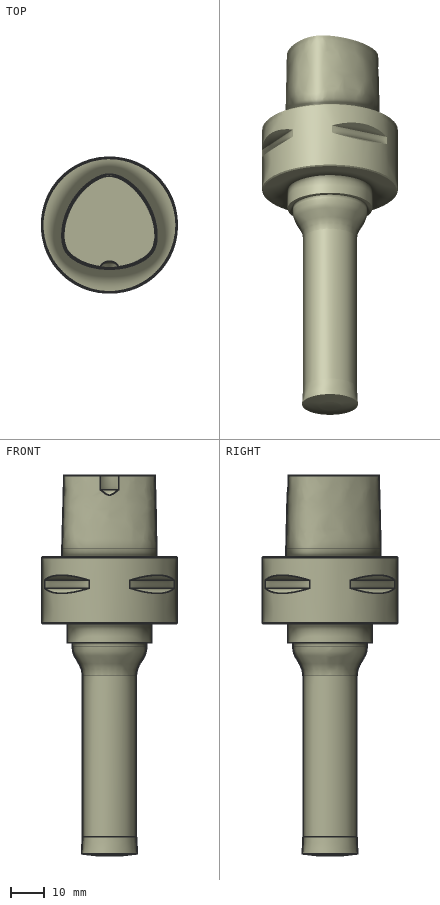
import cadquery as cq
import math

TOTAL_LENGTH = 112.0

SHANK_LENGTH = 24.0
SHANK_WIDTH = 28.0
LOBE = 1.0
STRAIGHT_BAND = 2.5
WIDTH_PER_LENGTH = 1 / 20
OUTLINE_POINTS = 36

NOTCH_DIAMETER = 6.0
NOTCH_DEPTH = 4.1
NOTCH_OFFSET = 13.7
NOTCH_TIP_ANGLE = 100.0

FLANGE_DIAMETER = 40.0
FLANGE_HEIGHT = 19.7
FLANGE_CHAMFER = 0.3
SLOT_COUNT = 4
SLOT_FIRST_ANGLE = 45.0
SLOT_DROP = 8.1
SLOT_LENGTH = 18.6
SLOT_FLOOR_HEIGHT = 2.2
SLOT_MOUTH_HEIGHT = 5.4

COLLAR_DIAMETER = 25.0
COLLAR_HEIGHT = 5.6
NECK_DIAMETER = 22.0
NECK_BAND = 1.0
STEM_DIAMETER = 15.9
FLARE_HEIGHT = 8.6

TIP_LENGTH = 5.6
TIP_DIAMETER = 16.5
TIP_CROWN_HEIGHT = 0.6
TIP_FLAT_DIAMETER = 6.7

FLANGE_TOP = TOTAL_LENGTH - SHANK_LENGTH
FLANGE_BOTTOM = FLANGE_TOP - FLANGE_HEIGHT


def lobed_outline(width, z):
    """Closed constant-width curve with three lobes, one pointing to +Y."""
    points = []
    for i in range(OUTLINE_POINTS):
        t = 2 * math.pi * i / OUTLINE_POINTS
        reach = width / 2 + LOBE * math.cos(3 * t)
        slide = -3 * LOBE * math.sin(3 * t)
        x = reach * math.sin(t) + slide * math.cos(t)
        y = reach * math.cos(t) - slide * math.sin(t)
        points.append(cq.Vector(x, y, z))
    return cq.Wire.assembleEdges([cq.Edge.makeSpline(points, periodic=True)])


def make_shank():
    band_top = FLANGE_TOP + STRAIGHT_BAND
    top_width = SHANK_WIDTH - (TOTAL_LENGTH - band_top) * WIDTH_PER_LENGTH
    base = lobed_outline(SHANK_WIDTH, FLANGE_TOP)
    middle = lobed_outline(SHANK_WIDTH, band_top)
    top = lobed_outline(top_width, TOTAL_LENGTH)
    band = cq.Solid.makeLoft([base, middle], True)
    taper = cq.Solid.makeLoft([middle, top], True)
    return cq.Workplane(band).union(cq.Workplane(taper), clean=False)


def make_notch():
    """Drill shape: a vertical cylinder with a conical point."""
    radius = NOTCH_DIAMETER / 2
    shoulder = TOTAL_LENGTH - NOTCH_DEPTH
    point = shoulder - radius / math.tan(math.radians(NOTCH_TIP_ANGLE / 2))
    return (
        cq.Workplane("XZ")
        .polyline([(0, TOTAL_LENGTH), (radius, TOTAL_LENGTH), (radius, shoulder), (0, point)])
        .close()
        .revolve(360, (0, 0), (0, 1))
        .translate((0, -NOTCH_OFFSET, 0))
    )


def make_flange():
    return (
        cq.Workplane("XY", origin=(0, 0, FLANGE_BOTTOM))
        .circle(FLANGE_DIAMETER / 2)
        .extrude(FLANGE_HEIGHT)
        .edges()
        .chamfer(FLANGE_CHAMFER)
    )


def make_slot(angle):
    """Straight slot with sloping flanks, cut across the flange rim."""
    rim = FLANGE_DIAMETER / 2
    floor = math.sqrt(rim**2 - (SLOT_LENGTH / 2) ** 2)
    half_floor = SLOT_FLOOR_HEIGHT / 2
    half_mouth = SLOT_MOUTH_HEIGHT / 2
    return (
        cq.Workplane("XZ", origin=(0, 0, FLANGE_TOP - SLOT_DROP))
        .polyline([(floor, -half_floor), (rim, -half_mouth), (rim, half_mouth), (floor, half_floor)])
        .close()
        .extrude(SLOT_LENGTH)
        .translate((0, SLOT_LENGTH / 2, 0))
        .rotate((0, 0, 0), (0, 0, 1), angle)
    )


def make_stem():
    """Collar, flared neck and cylindrical stem, turned about Z."""
    collar_radius = COLLAR_DIAMETER / 2
    neck_radius = NECK_DIAMETER / 2
    stem_radius = STEM_DIAMETER / 2
    straight_down = (0, -1)

    collar_bottom = FLANGE_BOTTOM - COLLAR_HEIGHT
    flare_top = collar_bottom - NECK_BAND
    flare_bottom = flare_top - FLARE_HEIGHT
    return (
        cq.Workplane("XZ")
        .moveTo(0, FLANGE_BOTTOM)
        .lineTo(collar_radius, FLANGE_BOTTOM)
        .lineTo(collar_radius, collar_bottom)
        .lineTo(neck_radius, collar_bottom)
        .lineTo(neck_radius, flare_top)
        .spline([(stem_radius, flare_bottom)], tangents=[straight_down, straight_down], includeCurrent=True)
        .lineTo(stem_radius, TIP_LENGTH)
        .lineTo(0, TIP_LENGTH)
        .close()
        .revolve(360, (0, 0), (0, 1))
    )


def make_holder():
    holder = make_flange().union(make_stem())
    holder = holder.union(make_shank().cut(make_notch()), clean=False)
    for i in range(SLOT_COUNT):
        holder = holder.cut(make_slot(SLOT_FIRST_ANGLE + i * 360 / SLOT_COUNT), clean=False)
    return holder


def make_tip():
    """Slightly flared cutting tip with a shallow crown, turned about Z."""
    return (
        cq.Workplane("XZ")
        .moveTo(0, TIP_LENGTH)
        .lineTo(STEM_DIAMETER / 2, TIP_LENGTH)
        .lineTo(TIP_DIAMETER / 2, TIP_CROWN_HEIGHT)
        .lineTo(TIP_FLAT_DIAMETER / 2, 0)
        .lineTo(0, 0)
        .close()
        .revolve(360, (0, 0), (0, 1))
    )


holder = make_holder()
tip = make_tip()
result = cq.Compound.makeCompound([holder.val(), tip.val()])